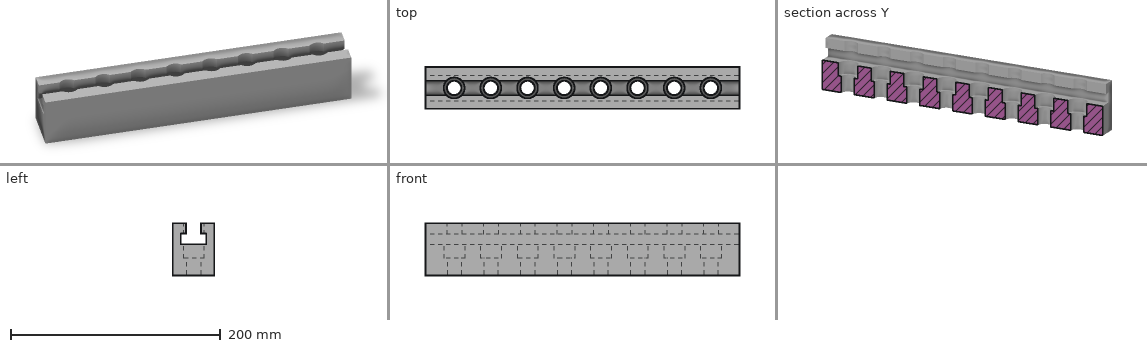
import cadquery as cq

length = 300.0
width = 40.0
height = 50.0

neck_width = 14.0
slot_width = 24.0
lip_height = 10.0
slot_height = 10.0
slot_floor_z = height - lip_height - slot_height
lip_bottom_z = height - lip_height

hole_count = 8
hole_pitch = 35.0
hole_diameter = 13.5
counterbore_diameter = 20.0
counterbore_depth = 13.0
counterbore_floor_z = slot_floor_z - counterbore_depth
first_hole_x = (length - (hole_count - 1) * hole_pitch) / 2


def box_along_rail(box_width, bottom_z, top_z):
    """Full-length box, centred on Y, between two heights."""
    return (
        cq.Workplane("XY", origin=(0, 0, bottom_z))
        .box(length, box_width, top_z - bottom_z, centered=(False, True, False))
    )


def t_slot():
    neck = box_along_rail(neck_width, slot_floor_z, height)
    undercut = box_along_rail(slot_width, slot_floor_z, lip_bottom_z)
    return neck.union(undercut)


def cylinders_at_holes(diameter, bottom_z, top_z):
    """One vertical cylinder at each mounting hole."""
    centres = [(first_hole_x + i * hole_pitch, 0) for i in range(hole_count)]
    return (
        cq.Workplane("XY", origin=(0, 0, bottom_z))
        .pushPoints(centres)
        .circle(diameter / 2)
        .extrude(top_z - bottom_z)
    )


body = box_along_rail(width, 0, height)
through_holes = cylinders_at_holes(hole_diameter, 0, height)
counterbores = cylinders_at_holes(counterbore_diameter, counterbore_floor_z, height)

result = body.cut(t_slot()).cut(through_holes).cut(counterbores)